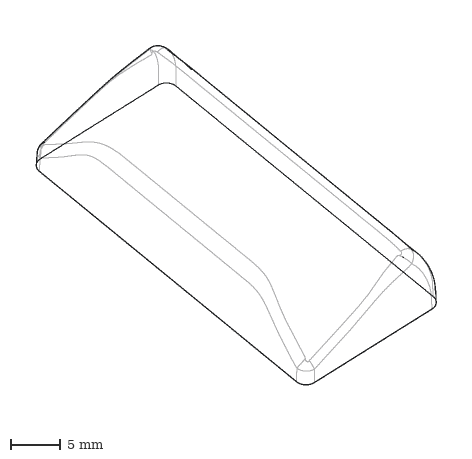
import cadquery as cq
import math

length = 42.2
width = 18.4
half_length = length / 2
half_width = width / 2

stock_height = 9.3
front_wall_radius = 25.3
end_wall_radius = 29.53
back_wall_middle = (0.3, 3.9)
back_wall_shoulder = (1.45, 6.65)
back_wall_top_inset = 4.15
back_wall_top_slope = 0.7
corner_radius = 1.25

dish_straight_half = 11.9
dish_front = (-6.55, 7.97)
dish_bottom = (1.7, 6.55)
dish_back = (6.33, 7.0)
dish_curl_radius = 19.0

shoulder_line_near = (12.65, -6.55)
shoulder_line_far = (18.75, 4.65)
shoulder_line_height = 8.9
shoulder_slope = 0.8
shoulder_blend = 2.1

grid_step = 0.85
grid_margin = 0.85
fit_tolerance = 0.05
cutter_depth = stock_height + 2.1

rim_radius = 1.25


def arc_inset(radius, height):
    """How far an arc that starts upright has moved inward at a height."""
    return radius - math.sqrt(radius**2 - height**2)


def make_walls():
    """Block with curved front, back and end walls."""
    mid_height = stock_height / 2
    across = (
        cq.Workplane("YZ", origin=(-half_length, 0, 0))
        .moveTo(-half_width, 0)
        .threePointArc(
            (arc_inset(front_wall_radius, mid_height) - half_width, mid_height),
            (arc_inset(front_wall_radius, stock_height) - half_width, stock_height),
        )
        .lineTo(half_width - back_wall_top_inset, stock_height)
        .spline(
            [
                (half_width - back_wall_shoulder[0], back_wall_shoulder[1]),
                (half_width - back_wall_middle[0], back_wall_middle[1]),
                (half_width, 0),
            ],
            tangents=[(1, -back_wall_top_slope), (0, -1)],
            includeCurrent=True,
        )
        .close()
        .extrude(length)
    )
    mid_x = half_length - arc_inset(end_wall_radius, mid_height)
    top_x = half_length - arc_inset(end_wall_radius, stock_height)
    along = (
        cq.Workplane("XZ")
        .moveTo(-half_length, 0)
        .threePointArc((-mid_x, mid_height), (-top_x, stock_height))
        .lineTo(top_x, stock_height)
        .threePointArc((mid_x, mid_height), (half_length, 0))
        .close()
        .extrude(half_width, both=True)
    )
    return across.intersect(along)


def circle_through(a, b, c):
    """Centre and radius of the circle through three (y, z) points."""
    scale = 2 * (a[0] * (b[1] - c[1]) + b[0] * (c[1] - a[1]) + c[0] * (a[1] - b[1]))
    a2, b2, c2 = (p[0] ** 2 + p[1] ** 2 for p in (a, b, c))
    y = (a2 * (b[1] - c[1]) + b2 * (c[1] - a[1]) + c2 * (a[1] - b[1])) / scale
    z = (a2 * (c[0] - b[0]) + b2 * (a[0] - c[0]) + c2 * (b[0] - a[0])) / scale
    return y, z, math.hypot(a[0] - y, a[1] - z)


dish_y, dish_z, dish_radius = circle_through(dish_front, dish_bottom, dish_back)


def dish_height(x, y):
    """Height of the finger dish."""
    curl = max(abs(x) - dish_straight_half, 0)
    rise = arc_inset(dish_curl_radius, curl)
    return dish_z - math.sqrt(dish_radius**2 - (y - dish_y) ** 2) + rise


def shoulder_height(x, y):
    """Height of the sloping plane beyond the end of the dish."""
    dx = shoulder_line_far[0] - shoulder_line_near[0]
    dy = shoulder_line_far[1] - shoulder_line_near[1]
    along_x = abs(x) - shoulder_line_near[0]
    along_y = y - shoulder_line_near[1]
    outward = (along_x * dy - along_y * dx) / math.hypot(dx, dy)
    return shoulder_line_height - shoulder_slope * outward


def top_height(x, y):
    """The lower of dish and shoulder, with a soft crest where they meet."""
    dish = dish_height(x, y)
    shoulder = shoulder_height(x, y)
    overlap = max(shoulder_blend - abs(dish - shoulder), 0)
    return min(dish, shoulder) - overlap**2 / (4 * shoulder_blend)


def grid_values(half_span):
    """Evenly spaced values reaching a little past both ends of a span."""
    count = math.ceil((half_span + grid_margin) / grid_step)
    return [i * grid_step for i in range(-count, count + 1)]


def make_top_cutter():
    """Everything above the top surface."""
    points = [
        [cq.Vector(x, y, top_height(x, y)) for y in grid_values(half_width)]
        for x in grid_values(half_length)
    ]
    surface = cq.Face.makeSplineApprox(points, tol=fit_tolerance, minDeg=3, maxDeg=5)
    return cq.Workplane(cq.Solid.extrudeLinear(surface, cq.Vector(0, 0, cutter_depth)))


def round_rim(body):
    """Round the edge between the top surface and the walls."""
    bottom_of_dish = (0, dish_bottom[0], dish_bottom[1])
    top_face = body.faces(cq.selectors.NearestToPointSelector(bottom_of_dish))
    return top_face.edges().fillet(rim_radius)


upright_corners = "not(|X or |Y)"
walls = make_walls().edges(upright_corners).fillet(corner_radius)
result = round_rim(walls.cut(make_top_cutter()))